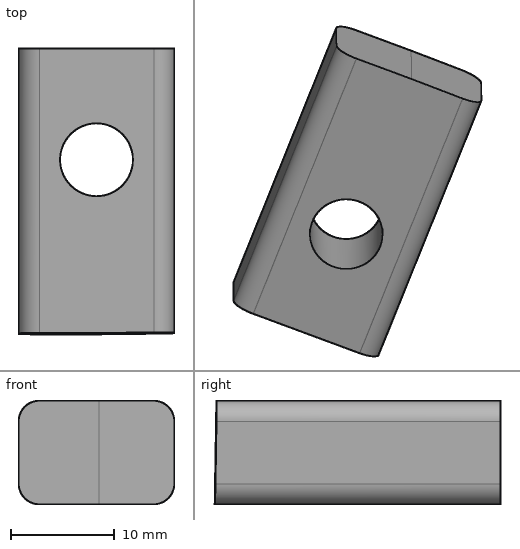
import cadquery as cq

width = 15.0
length = 27.55
height = 10.0
corner_radius = 2.0

hole_diameter = 7.0
hole_from_back = 10.7

end_lean = 0.17
end_falloff = 0.08
ridge_x = 0.22

front_y = -length / 2
right_x = width / 2


def rounded_bar():
    """Bar along Y with its four long edges rounded."""
    return cq.Workplane("XY").box(width, length, height).edges("|Y").fillet(corner_radius)


def leaning_end_cutter(plan_points):
    """Wedge in front of the -Y end, sheared so that it bites deeper at the top.

    The plan outline is lofted from the bottom face to the top face, with the
    end line moved back by the lean.
    """
    outer_y = front_y - length / 10
    outline_ends = [(plan_points[-1][0], outer_y), (plan_points[0][0], outer_y)]
    top_points = [(x, y + end_lean) for x, y in plan_points]
    return (
        cq.Workplane("XY", origin=(0, 0, -height / 2))
        .polyline(plan_points + outline_ends).close()
        .workplane(offset=height)
        .polyline(top_points + outline_ends).close()
        .loft(ruled=True, combine=True)
    )


def through_hole():
    """Cylinder for the vertical hole."""
    return (
        cq.Workplane("XY", origin=(0, length / 2 - hole_from_back, -height / 2))
        .circle(hole_diameter / 2)
        .extrude(height)
    )


end_line = [(-right_x, front_y), (ridge_x, front_y), (right_x, front_y + end_falloff)]
result = rounded_bar().cut(leaning_end_cutter(end_line)).cut(through_hole())